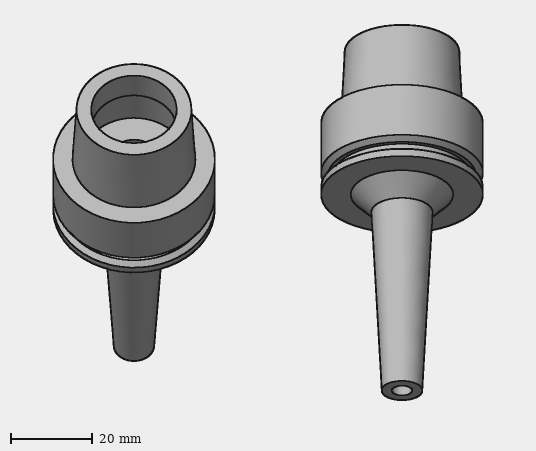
import cadquery as cq


overall_height = 95.0
shank_height = 19.95
flange_height = 20.0
neck_cone_height = 5.0

shank_tip_dia = 28.4
shank_base_dia = 30.4

flange_dia = 40.0
groove_dia = 34.8
groove_mouth_dia = 36.9
rim_height = 2.0
rim_bevel_height = 0.95
groove_height = 1.9
body_bevel_height = 1.1

neck_top_dia = 25.3
nose_base_dia = 15.2
nose_tip_dia = 10.1

clamp_bore_dia = 21.1
clamp_bore_depth = 8.0
undercut_dia = 25.6
undercut_height = 12.0
middle_bore_dia = 12.0
middle_bore_depth = 10.0
through_hole_dia = 5.0

shank_base_z = overall_height - shank_height
flange_bottom_z = shank_base_z - flange_height
nose_base_z = flange_bottom_z - neck_cone_height
rim_top_z = flange_bottom_z + rim_height
groove_bottom_z = rim_top_z + rim_bevel_height
groove_top_z = groove_bottom_z + groove_height
body_bottom_z = groove_top_z + body_bevel_height
undercut_top_z = overall_height - clamp_bore_depth
undercut_floor_z = undercut_top_z - undercut_height
middle_bore_floor_z = undercut_floor_z - middle_bore_depth


def turned(diameters_and_levels):
    """Solid of revolution about Z from (diameter, Z) pairs listed upward."""
    bottom_z = diameters_and_levels[0][1]
    top_z = diameters_and_levels[-1][1]
    edge = [(diameter / 2, z) for diameter, z in diameters_and_levels]
    outline = [(0, bottom_z)] + edge + [(0, top_z)]
    return cq.Workplane("XZ").polyline(outline).close().revolve(360, (0, 0, 0), (0, 1, 0))


holder = turned([
    (nose_tip_dia, 0),
    (nose_base_dia, nose_base_z),
    (neck_top_dia, flange_bottom_z),
    (flange_dia, flange_bottom_z),
    (flange_dia, rim_top_z),
    (groove_mouth_dia, groove_bottom_z),
    (groove_dia, groove_bottom_z),
    (groove_dia, groove_top_z),
    (groove_mouth_dia, groove_top_z),
    (flange_dia, body_bottom_z),
    (flange_dia, shank_base_z),
    (shank_base_dia, shank_base_z),
    (shank_tip_dia, overall_height),
])

bore = turned([
    (through_hole_dia, 0),
    (through_hole_dia, middle_bore_floor_z),
    (middle_bore_dia, middle_bore_floor_z),
    (middle_bore_dia, undercut_floor_z),
    (undercut_dia, undercut_floor_z),
    (undercut_dia, undercut_top_z),
    (clamp_bore_dia, undercut_top_z),
    (clamp_bore_dia, overall_height),
])

result = holder.cut(bore)